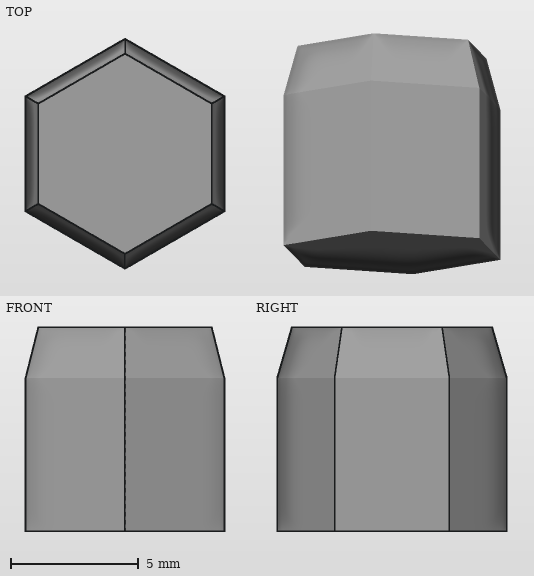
import cadquery as cq
import math

ACROSS_FLATS = 7.8
HEIGHT = 8.0
BEVEL_HEIGHT = 2.0
BEVEL_INSET = 0.5

ACROSS_CORNERS = ACROSS_FLATS / math.cos(math.radians(30))
STRAIGHT_HEIGHT = HEIGHT - BEVEL_HEIGHT
BEVEL_ANGLE = math.degrees(math.atan2(BEVEL_INSET, BEVEL_HEIGHT))


def hexagon(base_height):
    """Hexagon outline at the given height, with two corners on the Y axis."""
    return (
        cq.Workplane("XY", origin=(0, 0, base_height))
        .transformed(rotate=(0, 0, 90))
        .polygon(6, ACROSS_CORNERS)
    )


def straight_body():
    """Lower hexagonal prism with vertical flats."""
    return hexagon(0).extrude(STRAIGHT_HEIGHT)


def tapered_top():
    """Upper section whose six flats lean inward towards the top face."""
    return hexagon(STRAIGHT_HEIGHT).extrude(BEVEL_HEIGHT, taper=BEVEL_ANGLE)


result = straight_body().union(tapered_top())